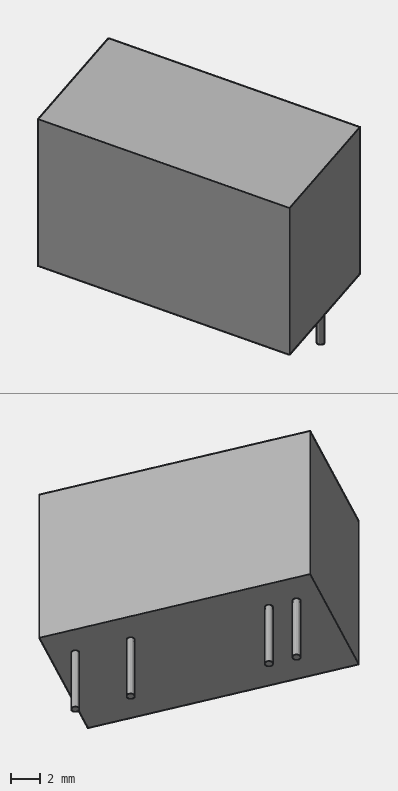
import cadquery as cq

housing_length = 19.6
housing_width = 9.9
housing_height = 13.0

pin_diameter = 0.56
overall_height = 18.1
pin_length = overall_height - housing_height
pin_pitch = 2.0
pin_positions = [-4, -3, 2, 4]
pin_row_inset = 2.3
pin_row_y = housing_width / 2 - pin_row_inset


def make_housing():
    return cq.Workplane("XY").box(
        housing_length, housing_width, housing_height, centered=(True, True, False)
    )


def make_pin(x):
    """Round pin hanging from the underside of the housing."""
    return cq.Workplane("XY").center(x, pin_row_y).circle(pin_diameter / 2).extrude(-pin_length)


housing = make_housing()
pins = [make_pin(position * pin_pitch) for position in pin_positions]

result = cq.Compound.makeCompound([housing.val(), *[pin.val() for pin in pins]])